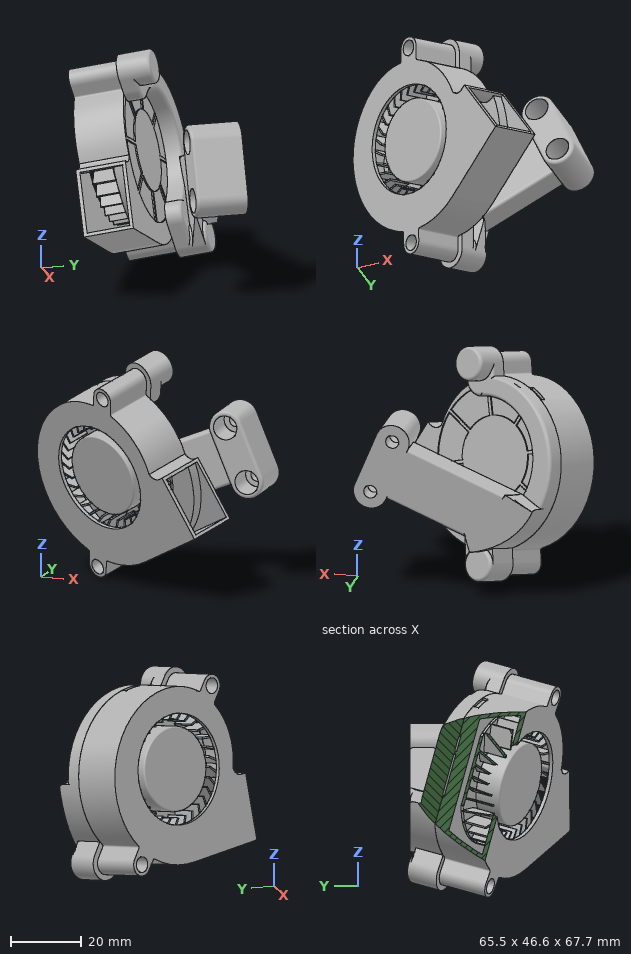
import cadquery as cq
import math

STAND = 89.3
TILT = -30.0
TURN = -30.0


def stand_up(shape):
    shape = shape.rotate((0, 0, 0), (1, 0, 0), STAND)
    shape = shape.rotate((0, 0, 0), (0, 0, 1), TILT)
    return shape.rotate((0, 0, 0), (0, 1, 0), TURN)


FAN_DEPTH = 15.0
WALL = 1.0
FRONT_WALL = 1.2

SCROLL_RADIUS = 25.6
TONGUE_RADIUS = 22.0
TOP_REACH = 23.73
SCROLL_Y = TOP_REACH - SCROLL_RADIUS
TONGUE_Y = TOP_REACH - TONGUE_RADIUS
BOTTOM = SCROLL_Y - SCROLL_RADIUS

MOUTH_X = 25.4
MOUTH_TOP = -7.6
NOTCH_RADIUS = 2.5
NOTCH_X = 23.7
VOLUTE_FLOOR = 11.0
DUCT_FLOOR = FAN_DEPTH - WALL
DUCT_STEP_RADIUS = 25.4

INLET_RADIUS = 16.0
HUB_RADIUS = 12.25
HUB_FACE = 1.3
HUB_FILLET = 0.5
DISC_FACE = 9.0
DISC_THICKNESS = 0.8
BLADE_COUNT = 30
BLADE_INNER = 14.2
BLADE_OUTER = 19.5
BLADE_FACE = 2.0
BLADE_LEAN = 32.0
BLADE_THICKNESS = 0.5

EARS = [(18.0, 20.0), (-20.1, -23.0)]
EAR_RADIUS = 3.3
EAR_HOLE = 4.5
EAR_FILLET = 0.6

RECESS_OUTER = 21.0
RECESS_INNER = 12.0
RECESS_DEPTH = 0.4
SPOKE_COUNT = 8
SPOKE_WIDTH = 1.0

CLIP_X0, CLIP_X1 = -3.0, 2.4
CLIP_HEIGHT = 1.8
CLIP_DEPTH = 0.8

RING_INNER = 17.5
RING_BACK = FAN_DEPTH + 5.0
CAP_RADIUS = 5.0
CAP_BACK = FAN_DEPTH + 10.0
EDGE_FILLET = 1.0

MOUNT_ANGLE = 22.5
MOUNT_X, MOUNT_Z = 31.97, 12.85
MOUNT_PITCH = 16.86
MOUNT_RADIUS = 5.0
MOUNT_HOLE = 3.8
MOUNT_BORE = 7.0
MOUNT_BORE_DEPTH = 10.0
BACK_Y = 32.85
MOUNT_DEPTH = 15.07
ARM_DEPTH = 7.55
ARM_ROOT_TOP = 0.5
ARM_REACH = 60.0
FAR = 100.0


def sketch(depth):
    return cq.Workplane("XY").workplane(offset=-depth)


def disc(radius, front, back, centre=(0, 0)):
    return sketch(front).center(*centre).circle(radius).extrude(front - back)


def block(x0, x1, y0, y1, front, back):
    return cq.Workplane("XY").box(x1 - x0, y1 - y0, back - front, centered=False).translate((x0, y0, -back))


def volute_outline(plane):
    """Scroll of two tangent arcs that runs into the rectangular outlet."""
    diag = math.sqrt(0.5)
    notch_y = MOUTH_TOP + NOTCH_RADIUS
    tongue_x = math.sqrt(TONGUE_RADIUS**2 - (notch_y - TONGUE_Y) ** 2)
    return (
        plane.moveTo(0, BOTTOM)
        .lineTo(MOUTH_X, BOTTOM)
        .lineTo(MOUTH_X, MOUTH_TOP)
        .lineTo(NOTCH_X, MOUTH_TOP)
        .threePointArc(
            (NOTCH_X - NOTCH_RADIUS * diag, notch_y - NOTCH_RADIUS * diag), (tongue_x, notch_y)
        )
        .threePointArc((TONGUE_RADIUS * diag, TONGUE_Y + TONGUE_RADIUS * diag), (0, TOP_REACH))
        .threePointArc((-SCROLL_RADIUS, SCROLL_Y), (0, BOTTOM))
        .close()
    )


def radial_slot(start, centre, radius, front, back):
    """Round-ended web running from the distance `start` on the axis side out to `centre`."""
    reach = math.hypot(*centre)
    angle = math.degrees(math.atan2(centre[1], centre[0]))
    web = block(start, reach, -radius, radius, front, back)
    web = web.union(disc(radius, front, back, (reach, 0)))
    web = web.union(disc(radius, front, back, (start, 0)))
    return web.rotate((0, 0, 0), (0, 0, 1), angle)


def ear_root(edge):
    """True for the edges where an ear web leaves the scroll."""
    middle = edge.Center()
    if math.hypot(middle.x, middle.y) > -BOTTOM:
        return False
    for x, y in EARS:
        offset = abs(middle.x * y - middle.y * x) / math.hypot(x, y)
        if abs(offset - EAR_RADIUS) < 0.01 and middle.x * x > 0:
            return True
    return False


def make_blower():
    body = volute_outline(sketch(0)).extrude(-FAN_DEPTH)
    for ear in EARS:
        body = body.union(radial_slot(INLET_RADIUS + EAR_RADIUS, ear, EAR_RADIUS, 0, FAN_DEPTH))
    roots = [e for e in body.edges("|Z").vals() if ear_root(e)]
    body = body.newObject(roots).fillet(EAR_FILLET)
    for ear in EARS:
        body = body.cut(disc(EAR_HOLE / 2, 0, FAN_DEPTH, ear))

    chamber = volute_outline(sketch(FRONT_WALL)).offset2D(-WALL).extrude(FRONT_WALL - VOLUTE_FLOOR)
    duct_size = (BOTTOM + WALL, MOUTH_TOP - WALL)
    duct = block(0, MOUTH_X, *duct_size, FRONT_WALL, DUCT_FLOOR)
    duct = duct.cut(disc(DUCT_STEP_RADIUS, VOLUTE_FLOOR, DUCT_FLOOR, (0, SCROLL_Y)))
    body = body.cut(chamber).cut(duct).cut(disc(INLET_RADIUS, 0, FRONT_WALL))

    recess = disc(RECESS_OUTER, FAN_DEPTH - RECESS_DEPTH, FAN_DEPTH)
    recess = recess.cut(disc(RECESS_INNER, FAN_DEPTH - RECESS_DEPTH, FAN_DEPTH))
    for i in range(SPOKE_COUNT):
        spoke = block(0, RECESS_OUTER, -SPOKE_WIDTH / 2, SPOKE_WIDTH / 2, FAN_DEPTH - RECESS_DEPTH, FAN_DEPTH)
        recess = recess.cut(spoke.rotate((0, 0, 0), (0, 0, 1), i * 360 / SPOKE_COUNT))
    body = body.cut(recess)

    clip = block(CLIP_X0, CLIP_X1, TOP_REACH - CLIP_DEPTH, TOP_REACH + 1, FAN_DEPTH - CLIP_HEIGHT, FAN_DEPTH)
    return body.cut(clip).union(make_impeller())


def make_impeller():
    hub = disc(HUB_RADIUS, HUB_FACE, VOLUTE_FLOOR).faces(">Z").edges().fillet(HUB_FILLET)
    impeller = hub.union(disc(BLADE_OUTER, DISC_FACE, DISC_FACE + DISC_THICKNESS))
    lean = math.radians(BLADE_LEAN)
    length = math.sqrt(BLADE_OUTER**2 - (BLADE_INNER * math.sin(lean)) ** 2) - BLADE_INNER * math.cos(lean)
    blade = (
        block(0, length, -BLADE_THICKNESS / 2, BLADE_THICKNESS / 2, BLADE_FACE, DISC_FACE + DISC_THICKNESS / 2)
        .rotate((0, 0, 0), (0, 0, 1), -BLADE_LEAN)
        .translate((BLADE_INNER, 0, 0))
    )
    for i in range(BLADE_COUNT):
        impeller = impeller.union(blade.rotate((0, 0, 0), (0, 0, 1), i * 360 / BLADE_COUNT))
    return impeller


def half_ring(front, back):
    """Part of the scroll outline outside the ring bore, left of the line through the ears."""
    (x0, y0), (x1, y1) = EARS
    ring = volute_outline(sketch(front)).extrude(front - back)
    ring = ring.cut(disc(RING_INNER, front, back))
    side = sketch(front).polyline([(2 * x0, 2 * y0), (2 * x1, 2 * y1), (2 * x1, 2 * y0)]).close()
    return ring.intersect(side.extrude(front - back))


def slab(points, front_y, back_y):
    """Plate with an XZ outline in global axes, between two Y planes."""
    return cq.Workplane("XZ", origin=(0, front_y, 0)).polyline(points).close().extrude(front_y - back_y)


def make_bracket():
    web_start = RING_INNER + CAP_RADIUS
    ring = half_ring(FAN_DEPTH, RING_BACK)
    for ear in EARS:
        ring = ring.union(radial_slot(web_start, ear, CAP_RADIUS, FAN_DEPTH, RING_BACK))
    ring = ring.faces("<Z").edges().fillet(EDGE_FILLET)
    for ear in EARS:
        cap = disc(CAP_RADIUS, FAN_DEPTH, CAP_BACK, ear)
        ring = ring.union(cap.faces("<Z").edges().fillet(EDGE_FILLET))
    ring = stand_up(ring)

    root = half_ring(RING_BACK - EDGE_FILLET, FAR)
    root = root.union(
        radial_slot(web_start, EARS[1], CAP_RADIUS, RING_BACK - EDGE_FILLET, CAP_BACK - EDGE_FILLET)
    )
    root = root.intersect(block(-FAR, 0, -FAR, ARM_ROOT_TOP, 0, FAR))
    root = stand_up(root)
    far_square = [(-FAR, -FAR), (FAR, -FAR), (FAR, FAR), (-FAR, FAR)]
    root = root.intersect(slab(far_square, BACK_Y - ARM_DEPTH, BACK_Y))

    arm = cq.Workplane("XY").box(ARM_REACH, ARM_DEPTH, MOUNT_PITCH, centered=False)
    arm = arm.edges("|X").fillet(EDGE_FILLET).translate((-ARM_REACH, -ARM_DEPTH, -MOUNT_PITCH))
    mount = cq.Workplane("XZ").center(0, -MOUNT_PITCH / 2).slot2D(
        MOUNT_PITCH + 2 * MOUNT_RADIUS, 2 * MOUNT_RADIUS, 90
    ).extrude(MOUNT_DEPTH)
    mount = mount.faces("<Y").edges().fillet(EDGE_FILLET)
    holes = (
        cq.Workplane("XZ").pushPoints([(0, 0), (0, -MOUNT_PITCH)]).circle(MOUNT_HOLE / 2).extrude(MOUNT_DEPTH)
    )
    bores = (
        cq.Workplane("XZ", origin=(0, -MOUNT_DEPTH, 0))
        .pushPoints([(0, 0), (0, -MOUNT_PITCH)]).circle(MOUNT_BORE / 2).extrude(-MOUNT_BORE_DEPTH)
    )

    def place(shape):
        return shape.rotate((0, 0, 0), (0, 1, 0), -MOUNT_ANGLE).translate((MOUNT_X, BACK_Y, MOUNT_Z))

    limit = half_ring(FAN_DEPTH, FAR).union(block(-RING_INNER, FAR, -FAR, FAR, FAN_DEPTH, FAR))
    arm = place(arm).intersect(stand_up(limit))
    mount = place(mount)
    return ring.union(root).union(arm).union(mount).cut(place(holes)).cut(place(bores))


blower = stand_up(make_blower())
bracket = make_bracket()
result = cq.Compound.makeCompound([blower.val(), bracket.val()])